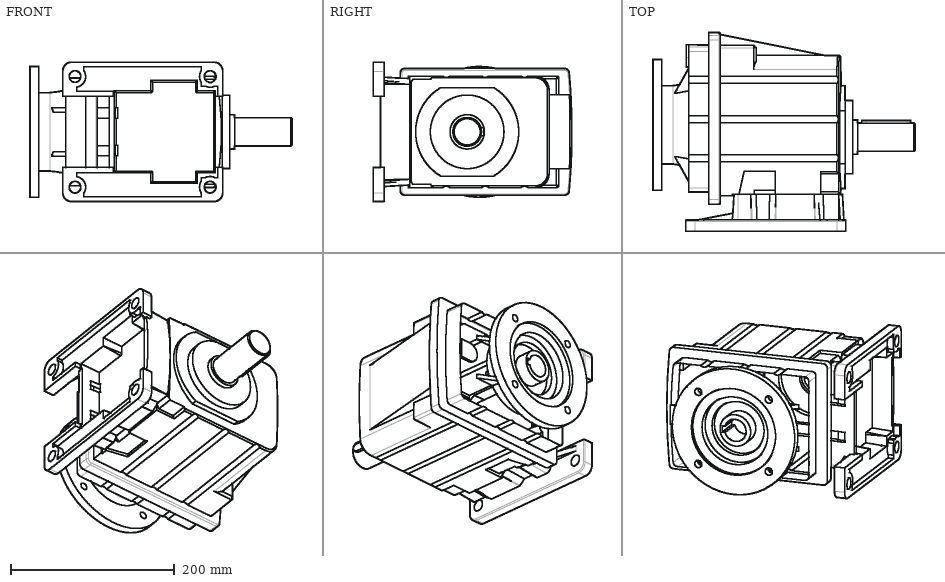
import cadquery as cq
import math


FLANGE_DIA = 160.0
FLANGE_THICK = 11.0
NECK_DIA = 96.0
NECK_END_X = 24.0
FLARE_DIA = 102.0
BOLT_CIRCLE = 130.0
BOLT_HOLE_DIA = 9.0
BOLT_COUNT = 4
BOLT_START_ANGLE = 45.0
FACE_RECESSES = [(110.0, 5.0), (86.0, 15.7), (68.0, 24.0)]
HUB_DIA = 40.0
HUB_FACE_X = 6.5
BORE_DIA = 28.0
BORE_DEPTH = 40.0
BORE_KEY_WIDTH = 8.0
BORE_KEY_TOP = 17.3

COVER_X = 43.4
JOINT_X = 68.0
CASE_X = 82.2
CASE_END_X = 229.7
COVER_HALF_Z = 66.0
COVER_TOP_Y = 98.0
COVER_BOTTOM_Y = -82.0
COVER_BOW = 3.2
COVER_CORNER = 5.5
JOINT_HALF_Z = 77.5
JOINT_TOP_Y = 113.0
JOINT_BOTTOM_Y = -97.0
JOINT_BOW = 3.8
JOINT_CORNER = 6.0
JOINT_EDGE_ROUND = 2.0
CASE_HALF_Z = 68.0
CASE_TOP_Y = 85.0
CASE_BOTTOM_Y = -85.0
CASE_TOP_ROUND = 17.0
CASE_END_CHAMFER = 2.0
CASE_END_BOW = 3.0
STEP_BOTTOM_Y = -86.8
STEP_END_X = 97.0
LOGO_PAD_END_X = 126.0
LOGO_PAD_END_CHAMFER = 3.0
LOGO_PAD_TOP_Y = 97.0
LOGO_PAD_ROUND = 3.0
ROOF_START_Y = 110.5
ROOF_END_X = 209.5
ROOF_HALF_Z = 45.0

GROOVE_YS = [55.0, 7.0, -40.5]
GROOVE_WIDTH = 8.6
GROOVE_DEPTH = 1.6

PAD_RAISE = 2.8
PAD_HALF_Z = 12.2
PAD_CENTER_Y = 82.8

GUSSET_Z = 26.9
GUSSET_THICK = 5.4
GUSSET_TIP_X = 26.5
GUSSET_TIP_Y = 38.7
GUSSET_ROOT_Y = 69.0

OUT_Y = -15.0
END_BOSS_DIA = 126.0
END_BOSS_HALF_Z = 54.0
END_BOSS_X = 234.6
OUT_COVER_DIA = 90.0
OUT_COVER_X = 244.0
COLLAR_DIA = 42.0
COLLAR_X = 250.0
SHAFT_DIA = 35.0
SHAFT_END_X = 320.0
SHAFT_CHAMFER = 1.5
KEY_START_X = 254.7
KEY_LENGTH = 60.0
KEY_WIDTH = 10.0
KEY_RISE = 3.0

FOOT_Y = -130.0
FOOT_TOP_Y = -116.0
FOOT_HALF_Z = 170.47 / 2
FOOT_INNER_Z = 43.4
FOOT_X0 = 39.9
FOOT_X1 = 235.5
FOOT_CORNER = 11.0
FOOT_EDGE_ROUND = 1.5
FOOT_HOLE_DIA = 14.0
FOOT_HOLE_Z = 67.5
FOOT_HOLE_XS = [55.0, 220.0]
FOOT_BOSS_RADIUS = 13.0
RECESS_Y = -122.5
RECESS_X0 = 65.6
RECESS_X1 = 209.4
RECESS_TAIL_X = 57.0
RECESS_OPEN_X = 101.6
RECESS_END_X = 229.5
RECESS_OUTER_Z = 79.2
RECESS_STEP_Z = 60.0
RECESS_INNER_Z = 49.8
RECESS_END_Z = 55.8
WALL_END_Y = -121.0
FOOT_RIB_X = 54.6
FOOT_RIB_Z0 = 47.3
FOOT_RIB_Z1 = 54.6
FOOT_RIB_TOP_Y = -107.5

COLUMN_X0 = 98.8
COLUMN_X1 = 226.8
COLUMN_WIDE_Z = 65.0
COLUMN_NARROW_Z = 58.0
COLUMN_STEP_XS = [119.5, 126.0, 142.5, 150.0, 197.0, 208.0]
COLUMN_DRAFT = 3.5
COLUMN_CORNER = 5.0
COLUMN_BOW = 4.8

POCKET_FLOOR_Y = -96.0
POCKET_X0 = 103.0
POCKET_X1 = 226.5
POCKET_HALF_Z = 50.2
POCKET_WIDE_X0 = 147.4
POCKET_WIDE_X1 = 204.5
POCKET_WIDE_Z = 63.0
POCKET_DRAFT = 5.0

SLOT_Z = 23.0
SLOT_WIDTH = 12.8
SLOT_CENTER_Y = -88.0
SLOT_BOTTOM_Y = -108.5
SLOT_END_X = 107.2

PLATE_X0 = 111.4
PLATE_X1 = 149.5
PLATE_SLANT = 6.5
PLATE_TOP_Y = -56.5
PLATE_DEPTH = 4.0
PLATE_EDGE_Y = -80.0
PLATE_CUT_X0 = 123.5
CORNER_X0 = 205.0
CORNER_TOP_Y = -57.5
CORNER_EDGE_Y = -81.5
CORNER_DEPTH = 3.8
CORNER_SLANT = 2.0


def block(x0, x1, y0, y1, z0, z1):
    return cq.Workplane("XY").box(x1 - x0, y1 - y0, z1 - z0, centered=False).translate((x0, y0, z0))


def disc(x0, x1, dia, y=0.0, z=0.0):
    return cq.Workplane("YZ", origin=(x0, 0, 0)).center(y, z).circle(dia / 2).extrude(x1 - x0)


def pin_y(x, z, dia, y0, y1):
    return cq.Workplane("XZ", origin=(0, y0, 0)).center(x, z).circle(dia / 2).extrude(y0 - y1)


def plate_xy(points, z0, z1):
    return cq.Workplane("XY", origin=(0, 0, z0)).polyline(points).close().extrude(z1 - z0)


def both_sides(solid):
    return solid.union(solid.mirror("XY"))


def bowed_slab(x0, x1, half_z, y_top, y_bottom, bow, corner):
    """Slab across X whose top side bulges by `bow`, with rounded corners."""
    return (
        cq.Workplane("YZ", origin=(x0, 0, 0))
        .moveTo(y_bottom, -half_z)
        .lineTo(y_top - bow, -half_z)
        .threePointArc((y_top, 0), (y_top - bow, half_z))
        .lineTo(y_bottom, half_z)
        .close()
        .extrude(x1 - x0)
        .edges("|X")
        .fillet(corner)
    )


def side_groove(x0, x1, y, face_z):
    radius = (GROOVE_WIDTH ** 2 / 4 + GROOVE_DEPTH ** 2) / (2 * GROOVE_DEPTH)
    return both_sides(disc(x0, x1, 2 * radius, y, face_z - GROOVE_DEPTH + radius))


def make_motor_flange():
    body = disc(0, FLANGE_THICK, FLANGE_DIA).union(disc(0, NECK_END_X, NECK_DIA))
    flare = (
        cq.Workplane("YZ", origin=(NECK_END_X, 0, 0))
        .circle(NECK_DIA / 2)
        .workplane(offset=COVER_X - NECK_END_X)
        .circle(FLARE_DIA / 2)
        .loft()
    )
    return body.union(flare)


def cut_motor_side(body):
    for dia, floor_x in FACE_RECESSES:
        body = body.cut(disc(0, floor_x, dia))
    body = body.union(disc(HUB_FACE_X, COVER_X, HUB_DIA))
    body = body.cut(disc(0, BORE_DEPTH, BORE_DIA))
    half_key = BORE_KEY_WIDTH / 2
    body = body.cut(block(0, BORE_DEPTH, 0, BORE_KEY_TOP, -half_key, half_key))
    for i in range(BOLT_COUNT):
        angle = math.radians(BOLT_START_ANGLE + i * 360 / BOLT_COUNT)
        y = BOLT_CIRCLE / 2 * math.cos(angle)
        z = BOLT_CIRCLE / 2 * math.sin(angle)
        body = body.cut(disc(0, FLANGE_THICK, BOLT_HOLE_DIA, y, z))
    return body


def make_joint():
    joint = bowed_slab(
        JOINT_X, CASE_X, JOINT_HALF_Z, JOINT_TOP_Y, JOINT_BOTTOM_Y, JOINT_BOW, JOINT_CORNER
    )
    return joint.faces(">X").edges().fillet(JOINT_EDGE_ROUND)


def make_cover():
    cover = bowed_slab(
        COVER_X, JOINT_X, COVER_HALF_Z, COVER_TOP_Y, COVER_BOTTOM_Y, COVER_BOW, COVER_CORNER
    )
    for y in GROOVE_YS:
        cover = cover.cut(side_groove(COVER_X, JOINT_X, y, COVER_HALF_Z))
    pad_x = COVER_X - PAD_RAISE
    pad_top_y = COVER_TOP_Y - COVER_BOW * (PAD_HALF_Z / COVER_HALF_Z) ** 2
    pad = block(pad_x, JOINT_X, PAD_CENTER_Y, pad_top_y, -PAD_HALF_Z, PAD_HALF_Z)
    return cover.union(pad).union(disc(pad_x, JOINT_X, 2 * PAD_HALF_Z, PAD_CENTER_Y))


def make_gussets():
    gussets = None
    for side in (1, -1):
        points = [
            (GUSSET_TIP_X, side * GUSSET_TIP_Y),
            (COVER_X, side * GUSSET_ROOT_Y),
            (COVER_X, side * GUSSET_TIP_Y),
        ]
        gusset = both_sides(
            plate_xy(points, GUSSET_Z - GUSSET_THICK / 2, GUSSET_Z + GUSSET_THICK / 2)
        )
        gussets = gusset if gussets is None else gussets.union(gusset)
    return gussets


def make_case():
    side_end_x = CASE_END_X - CASE_END_BOW
    case = (
        cq.Workplane("XZ", origin=(0, CASE_TOP_Y, 0))
        .moveTo(CASE_X, -CASE_HALF_Z)
        .lineTo(side_end_x, -CASE_HALF_Z)
        .threePointArc((CASE_END_X, 0), (side_end_x, CASE_HALF_Z))
        .lineTo(CASE_X, CASE_HALF_Z)
        .close()
        .extrude(CASE_TOP_Y - CASE_BOTTOM_Y)
    )
    case = case.edges("|X and >Y").fillet(CASE_TOP_ROUND)
    case = case.faces(">X").edges().chamfer(CASE_END_CHAMFER)
    case = case.union(
        block(CASE_X, STEP_END_X, STEP_BOTTOM_Y, 0, -CASE_HALF_Z, CASE_HALF_Z)
    )
    logo_pad = block(CASE_X, LOGO_PAD_END_X, 0, LOGO_PAD_TOP_Y, -CASE_HALF_Z, CASE_HALF_Z)
    logo_pad = logo_pad.edges("|X and >Y").fillet(LOGO_PAD_ROUND)
    case = case.union(logo_pad.faces(">X").edges("|Y").chamfer(LOGO_PAD_END_CHAMFER))
    roof = plate_xy(
        [(CASE_X, 0), (CASE_X, ROOF_START_Y), (ROOF_END_X, CASE_TOP_Y), (ROOF_END_X, 0)],
        -ROOF_HALF_Z,
        ROOF_HALF_Z,
    )
    case = case.union(roof)
    for y in GROOVE_YS:
        case = case.cut(side_groove(CASE_X, CASE_END_X, y, CASE_HALF_Z))
    return case


def cut_side_recesses(body):
    floor_z = CASE_HALF_Z - PLATE_DEPTH
    plate = plate_xy(
        [
            (PLATE_X0 - PLATE_SLANT, CASE_BOTTOM_Y),
            (PLATE_X0, PLATE_TOP_Y),
            (PLATE_X1, PLATE_TOP_Y),
            (PLATE_X1, CASE_BOTTOM_Y),
        ],
        floor_z,
        CASE_HALF_Z,
    )
    plate_cut = (
        cq.Workplane("YZ", origin=(PLATE_CUT_X0, 0, 0))
        .polyline(
            [
                (CASE_BOTTOM_Y, COLUMN_NARROW_Z),
                (PLATE_EDGE_Y, floor_z),
                (PLATE_EDGE_Y, CASE_HALF_Z),
                (CASE_BOTTOM_Y, CASE_HALF_Z),
            ]
        )
        .close()
        .extrude(PLATE_X1 - PLATE_CUT_X0)
    )
    corner = (
        cq.Workplane("YZ", origin=(CORNER_X0, 0, 0))
        .polyline(
            [
                (CASE_BOTTOM_Y, COLUMN_NARROW_Z),
                (CORNER_EDGE_Y, CASE_HALF_Z - CORNER_DEPTH),
                (CORNER_TOP_Y - CORNER_SLANT, CASE_HALF_Z - CORNER_DEPTH),
                (CORNER_TOP_Y, CASE_HALF_Z),
                (CASE_BOTTOM_Y, CASE_HALF_Z),
            ]
        )
        .close()
        .extrude(CASE_END_X - CORNER_X0)
    )
    return body.cut(both_sides(plate.union(plate_cut))).cut(both_sides(corner))


def make_output():
    boss_radius = END_BOSS_DIA / 2
    out = disc(CASE_X, END_BOSS_X, END_BOSS_DIA, OUT_Y).intersect(
        block(
            CASE_X, END_BOSS_X, OUT_Y - boss_radius, OUT_Y + boss_radius,
            -END_BOSS_HALF_Z, END_BOSS_HALF_Z,
        )
    )
    out = out.union(disc(CASE_X, OUT_COVER_X, OUT_COVER_DIA, OUT_Y))
    out = out.union(disc(CASE_X, COLLAR_X, COLLAR_DIA, OUT_Y))
    shaft = disc(CASE_X, SHAFT_END_X, SHAFT_DIA, OUT_Y).faces(">X").chamfer(SHAFT_CHAMFER)
    key_middle = KEY_START_X + KEY_LENGTH / 2
    key = (
        cq.Workplane("XZ", origin=(key_middle, OUT_Y, 0))
        .slot2D(KEY_LENGTH, KEY_WIDTH)
        .extrude(-(SHAFT_DIA / 2 + KEY_RISE))
    )
    return out.union(shaft).union(key)


def make_column():
    a0, a1, b0, b1, c0, c1 = COLUMN_STEP_XS
    wide = COLUMN_WIDE_Z
    narrow = COLUMN_NARROW_Z
    start = COLUMN_X0 + COLUMN_CORNER
    bend = COLUMN_CORNER * (1 - math.sqrt(0.5))
    half = [
        (start, wide), (a0, wide), (a1, narrow), (b0, narrow),
        (b1, wide), (c0, wide), (c1, narrow), (COLUMN_X1, narrow),
    ]
    mirrored = [(x, -z) for x, z in reversed(half)]
    column = (
        cq.Workplane("XZ", origin=(0, CASE_BOTTOM_Y, 0))
        .polyline(half)
        .threePointArc((COLUMN_X1 + COLUMN_BOW, 0), mirrored[0])
    )
    for x, z in mirrored[1:]:
        column = column.lineTo(x, z)
    column = (
        column.threePointArc((COLUMN_X0 + bend, bend - wide), (COLUMN_X0, COLUMN_CORNER - wide))
        .lineTo(COLUMN_X0, wide - COLUMN_CORNER)
        .threePointArc((COLUMN_X0 + bend, wide - bend), (start, wide))
        .close()
    )
    return column.extrude(CASE_BOTTOM_Y - WALL_END_Y, taper=-COLUMN_DRAFT)


def make_feet():
    foot = block(FOOT_X0, FOOT_X1, FOOT_Y, FOOT_TOP_Y, FOOT_INNER_Z, FOOT_HALF_Z)
    foot = foot.edges("|Y and >Z").fillet(FOOT_CORNER)
    foot = foot.faces(">Y").edges("not <Z").fillet(FOOT_EDGE_ROUND)
    rib = plate_xy(
        [(FOOT_RIB_X, FOOT_TOP_Y), (COLUMN_X0, FOOT_TOP_Y), (COLUMN_X0, FOOT_RIB_TOP_Y)],
        FOOT_RIB_Z0,
        FOOT_RIB_Z1,
    )
    return both_sides(foot.union(rib))


def foot_recess():
    recess = block(RECESS_X0, RECESS_X1, FOOT_Y, RECESS_Y, RECESS_STEP_Z, RECESS_OUTER_Z)
    recess = recess.union(
        block(RECESS_TAIL_X, RECESS_X1, FOOT_Y, RECESS_Y, RECESS_INNER_Z, RECESS_STEP_Z)
    )
    recess = recess.union(
        block(RECESS_OPEN_X, RECESS_END_X, FOOT_Y, RECESS_Y, FOOT_INNER_Z, RECESS_END_Z)
    )
    for x in FOOT_HOLE_XS:
        recess = recess.cut(pin_y(x, FOOT_HOLE_Z, 2 * FOOT_BOSS_RADIUS, FOOT_Y, RECESS_Y))
    return both_sides(recess)


def cut_foot(body):
    body = body.cut(foot_recess())
    pocket_depth = POCKET_FLOOR_Y - RECESS_Y
    half = [
        (POCKET_X0, POCKET_HALF_Z), (POCKET_WIDE_X0, POCKET_HALF_Z),
        (POCKET_WIDE_X0, POCKET_WIDE_Z), (POCKET_WIDE_X1, POCKET_WIDE_Z),
        (POCKET_WIDE_X1, POCKET_HALF_Z), (POCKET_X1, POCKET_HALF_Z),
    ]
    pocket = (
        cq.Workplane("XZ", origin=(0, RECESS_Y, 0))
        .polyline(half + [(x, -z) for x, z in reversed(half)])
        .close()
        .extrude(-pocket_depth, taper=POCKET_DRAFT)
    )
    body = body.cut(pocket)
    slot = block(
        CASE_X, SLOT_END_X, SLOT_BOTTOM_Y, SLOT_CENTER_Y,
        SLOT_Z - SLOT_WIDTH / 2, SLOT_Z + SLOT_WIDTH / 2,
    )
    slot = slot.union(disc(CASE_X, SLOT_END_X, SLOT_WIDTH, SLOT_CENTER_Y, SLOT_Z))
    body = body.cut(both_sides(slot))
    for x in FOOT_HOLE_XS:
        for z in (FOOT_HOLE_Z, -FOOT_HOLE_Z):
            body = body.cut(pin_y(x, z, FOOT_HOLE_DIA, FOOT_Y, FOOT_TOP_Y))
    return body


result = make_motor_flange().union(make_gussets())
result = result.union(make_cover()).union(make_joint())
result = cut_motor_side(result)
result = result.union(cut_side_recesses(make_case()))
result = result.union(make_output())
result = result.union(make_column()).union(make_feet())
result = cut_foot(result)